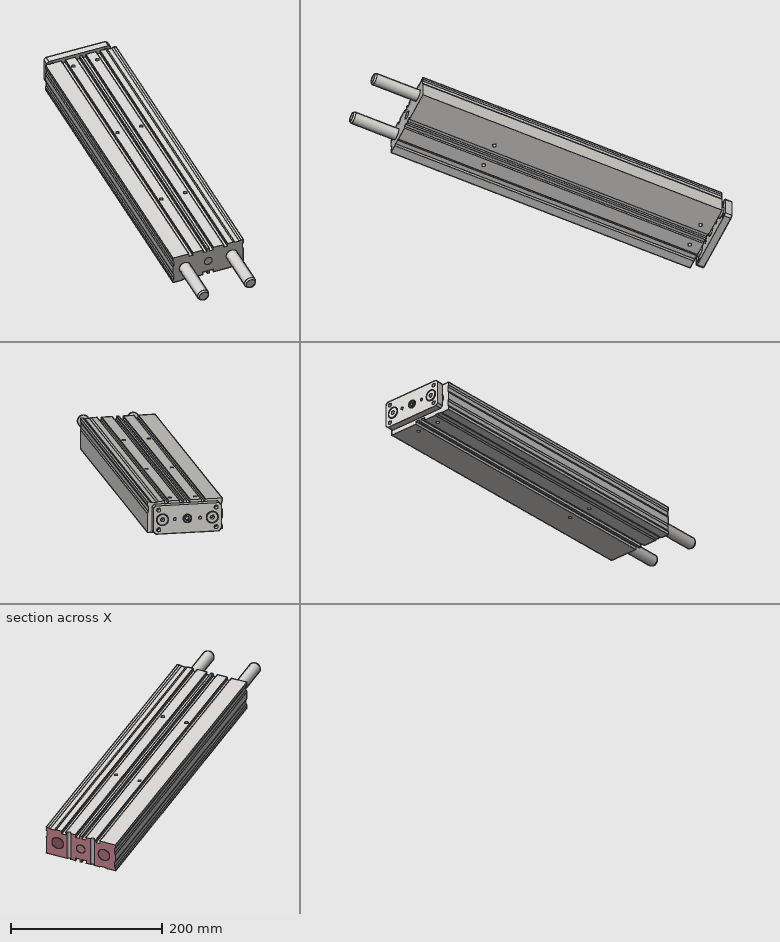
import cadquery as cq
import math

TOTAL_LENGTH = 518.0
HOUSING_START = 16.5
HOUSING_END = 452.5
HOUSING_LENGTH = HOUSING_END - HOUSING_START

HOUSING_WIDTH = 101.0
HOUSING_HEIGHT = 42.0
HALF_WIDTH = HOUSING_WIDTH / 2
HALF_HEIGHT = HOUSING_HEIGHT / 2

GROOVE_MOUTH = 11.5
GROOVE_SLOPE_RUN = 2.65
GROOVE_FLOOR = GROOVE_MOUTH - 2 * GROOVE_SLOPE_RUN
GROOVE_DEPTH = 1.0
SIDE_GROOVE_Z = 11.0
TOP_GROOVE_Y = 41.5
BOTTOM_GROOVE_Y = -32.5

SLOT_DEPTH = 4.0
OUTER_SLOT_Y = 25.0
INNER_SLOT_Y = 4.55
TOP_SLOT_WIDTH = 5.0
TOP_SLOT_CHAMFER = 0.5
BOTTOM_SLOT_WIDTH = 6.0

MOUNT_Y = 17.0
MOUNT_FIRST_X = 32.5
MOUNT_PITCH = 150.0
THROUGH_DIAMETER = 4.5
BLIND_DIAMETER = 4.0
BLIND_DEPTH = 8.5

PLATE_THICKNESS = 10.0
PLATE_WIDTH = 91.5
PLATE_HEIGHT = 39.0
PLATE_CHAMFER = 3.0
CORNER_HOLE_DIAMETER = 5.0
CORNER_HOLE_Y = 39.0
CORNER_HOLE_Z = 13.5
DOWEL_HOLE_DIAMETER = 3.5

GUIDE_DIAMETER = 16.0
GUIDE_Y = 33.5
PISTON_DIAMETER = 11.5
GUIDE_FRONT_CHAMFER = 0.8
GUIDE_END_CHAMFER_LENGTH = 2.5
GUIDE_END_CHAMFER_DEPTH = 1.5

CENTRE_HOLE_DIAMETER = 5.0
CENTRE_HOLE_DEPTH = 8.0
DRILL_HALF_ANGLE = math.radians(59)

SCREW_DIAMETER = PISTON_DIAMETER
SCREW_CHAMFER = 1.0
SOCKET_WIDTH = 5.0
SOCKET_DEPTH = 4.0


def cylinder_along_x(diameter, y, z, length):
    """Cylinder from the front face of the plate, X = 0, to X = length."""
    return cq.Workplane("YZ", origin=(0, y, z)).circle(diameter / 2).extrude(length)


def housing_prism(outline):
    """Outline of (Y, Z) points, extruded over the housing length."""
    section = cq.Workplane("YZ", origin=(HOUSING_START, 0, 0)).polyline(outline).close()
    return section.extrude(HOUSING_LENGTH)


def groove_cutter(y, z, outward_angle):
    """Groove with its mouth centred on (y, z), facing outward_angle degrees from +Y."""
    groove = housing_prism([
        (0, -GROOVE_MOUTH / 2),
        (-GROOVE_DEPTH, -GROOVE_FLOOR / 2),
        (-GROOVE_DEPTH, GROOVE_FLOOR / 2),
        (0, GROOVE_MOUTH / 2),
    ])
    return groove.rotate((0, 0, 0), (1, 0, 0), outward_angle).translate((0, y, z))


def top_slot_cutter(y):
    """Slot in the top face with chamfered lips."""
    half_slot = TOP_SLOT_WIDTH / 2
    half_mouth = half_slot + TOP_SLOT_CHAMFER
    floor_z = HALF_HEIGHT - SLOT_DEPTH
    lip_z = HALF_HEIGHT - TOP_SLOT_CHAMFER
    return housing_prism([
        (y - half_mouth, HALF_HEIGHT),
        (y - half_slot, lip_z),
        (y - half_slot, floor_z),
        (y + half_slot, floor_z),
        (y + half_slot, lip_z),
        (y + half_mouth, HALF_HEIGHT),
    ])


def bottom_slot_cutter(y):
    half_slot = BOTTOM_SLOT_WIDTH / 2
    floor_z = -HALF_HEIGHT + SLOT_DEPTH
    return housing_prism([
        (y - half_slot, -HALF_HEIGHT),
        (y + half_slot, -HALF_HEIGHT),
        (y + half_slot, floor_z),
        (y - half_slot, floor_z),
    ])


def mount_hole_cutter(x, y, diameter, depth):
    """Hole straight down from the top face of the housing."""
    return cq.Workplane("XY", origin=(x, y, HALF_HEIGHT)).circle(diameter / 2).extrude(-depth)


def rod_bores():
    """The space that the guide rods, the clamp screw and the piston rod take up."""
    bores = cylinder_along_x(PISTON_DIAMETER, 0, 0, HOUSING_END)
    for y in (-GUIDE_Y, GUIDE_Y):
        bores = bores.union(cylinder_along_x(GUIDE_DIAMETER, y, 0, HOUSING_END))
    return bores


def make_housing():
    housing = cq.Workplane("YZ", origin=(HOUSING_START, 0, 0))
    housing = housing.rect(HOUSING_WIDTH, HOUSING_HEIGHT).extrude(HOUSING_LENGTH)

    housing = housing.cut(groove_cutter(HALF_WIDTH, SIDE_GROOVE_Z, 0))
    for z in (-SIDE_GROOVE_Z, SIDE_GROOVE_Z):
        housing = housing.cut(groove_cutter(-HALF_WIDTH, z, 180))
    housing = housing.cut(groove_cutter(TOP_GROOVE_Y, HALF_HEIGHT, 90))
    housing = housing.cut(groove_cutter(BOTTOM_GROOVE_Y, -HALF_HEIGHT, -90))

    for y in (-OUTER_SLOT_Y, -INNER_SLOT_Y, INNER_SLOT_Y, OUTER_SLOT_Y):
        housing = housing.cut(top_slot_cutter(y))
    for y in (-INNER_SLOT_Y, INNER_SLOT_Y):
        housing = housing.cut(bottom_slot_cutter(y))

    middle_x = MOUNT_FIRST_X + MOUNT_PITCH
    for y in (-MOUNT_Y, MOUNT_Y):
        for x in (middle_x - MOUNT_PITCH, middle_x + MOUNT_PITCH):
            housing = housing.cut(mount_hole_cutter(x, y, THROUGH_DIAMETER, HOUSING_HEIGHT))
        housing = housing.cut(mount_hole_cutter(middle_x, y, BLIND_DIAMETER, BLIND_DEPTH))
    return housing.cut(rod_bores())


def make_end_plate():
    plate = cq.Workplane("YZ").rect(PLATE_WIDTH, PLATE_HEIGHT).extrude(PLATE_THICKNESS)
    plate = plate.edges("|X").chamfer(PLATE_CHAMFER)
    for y in (-CORNER_HOLE_Y, CORNER_HOLE_Y):
        for z in (-CORNER_HOLE_Z, CORNER_HOLE_Z):
            plate = plate.cut(cylinder_along_x(CORNER_HOLE_DIAMETER, y, z, PLATE_THICKNESS))
    for y in (-MOUNT_Y, MOUNT_Y):
        plate = plate.cut(cylinder_along_x(DOWEL_HOLE_DIAMETER, y, 0, PLATE_THICKNESS))
    return plate.cut(rod_bores())


def make_guide_rod(y):
    """Turned rod on the line through (y, 0), with its centre hole and chamfered ends."""
    radius = GUIDE_DIAMETER / 2
    hole_radius = CENTRE_HOLE_DIAMETER / 2
    hole_tip = CENTRE_HOLE_DEPTH + hole_radius / math.tan(DRILL_HALF_ANGLE)
    half_section = cq.Workplane("XY").polyline([
        (hole_tip, 0),
        (CENTRE_HOLE_DEPTH, hole_radius),
        (0, hole_radius),
        (0, radius - GUIDE_FRONT_CHAMFER),
        (GUIDE_FRONT_CHAMFER, radius),
        (TOTAL_LENGTH - GUIDE_END_CHAMFER_LENGTH, radius),
        (TOTAL_LENGTH, radius - GUIDE_END_CHAMFER_DEPTH),
        (TOTAL_LENGTH, 0),
    ]).close()
    return half_section.revolve(360, (0, 0, 0), (1, 0, 0)).translate((0, y, 0))


def make_clamp_screw():
    """Plain screw body with a chamfered head edge and a hexagon socket."""
    screw = cylinder_along_x(SCREW_DIAMETER, 0, 0, PLATE_THICKNESS)
    screw = screw.faces("<X").chamfer(SCREW_CHAMFER)
    socket_corner_diameter = SOCKET_WIDTH / math.cos(math.pi / 6)
    socket = cq.Workplane("YZ").polygon(6, socket_corner_diameter).extrude(SOCKET_DEPTH)
    return screw.cut(socket)


def make_piston_rod():
    """Rod from the rear face of the plate to the rear face of the housing."""
    rod = cq.Workplane("YZ", origin=(PLATE_THICKNESS, 0, 0)).circle(PISTON_DIAMETER / 2)
    return rod.extrude(HOUSING_END - PLATE_THICKNESS)


housing = make_housing()
end_plate = make_end_plate()
clamp_screw = make_clamp_screw()
piston_rod = make_piston_rod()
guide_rods = [make_guide_rod(y) for y in (-GUIDE_Y, GUIDE_Y)]

result = cq.Compound.makeCompound([
    housing.val(),
    end_plate.val(),
    clamp_screw.val(),
    piston_rod.val(),
    *[rod.val() for rod in guide_rods],
])